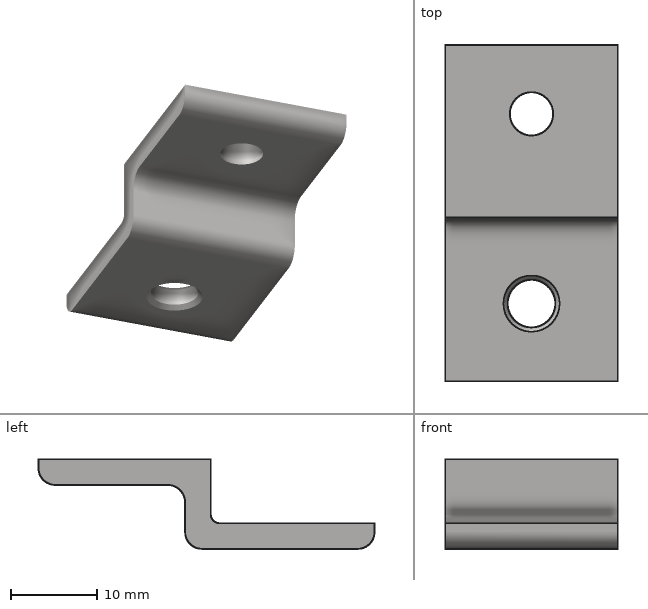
import cadquery as cq

width = 20.0
length = 39.0
height = 10.4

thickness = 3.0
upper_length = 20.0
large_radius = 2.0
step_radius = 1.0

upper_hole_diameter = 5.0
upper_hole_inset = 8.0
lower_hole_diameter = 5.5
lower_hole_inset = 9.0
lower_hole_chamfer = 0.5

step_y = length - upper_length
web_back_y = step_y + thickness
upper_bottom_z = height - thickness


def bracket_body():
    """Extrude the Z section across the width, then round its bends and lower end edges."""
    body = (
        cq.Workplane("YZ")
        .moveTo(0, 0)
        .lineTo(web_back_y, 0)
        .lineTo(web_back_y, upper_bottom_z)
        .lineTo(length, upper_bottom_z)
        .lineTo(length, height)
        .lineTo(step_y, height)
        .lineTo(step_y, thickness)
        .lineTo(0, thickness)
        .close()
        .extrude(width / 2, both=True)
    )
    large_round_corners = [
        (0, 0),
        (web_back_y, 0),
        (web_back_y, upper_bottom_z),
        (length, upper_bottom_z),
    ]
    for y, z in large_round_corners:
        body = body.edges(cq.NearestToPointSelector((0, y, z))).fillet(large_radius)
    return body.edges(cq.NearestToPointSelector((0, step_y, thickness))).fillet(step_radius)


def drill_upper_arm(body):
    """Plain through hole in the upper arm."""
    return (
        body.faces(">Z")
        .workplane(origin=(0, length - upper_hole_inset, height))
        .hole(upper_hole_diameter)
    )


def drill_lower_arm(body):
    """Through hole in the lower arm, chamfered at both rims."""
    pin = (
        cq.Workplane("XY", origin=(0, lower_hole_inset, 0))
        .circle(lower_hole_diameter / 2)
        .extrude(thickness)
    )
    rim_radius = lower_hole_diameter / 2 + lower_hole_chamfer
    for rim_z, inward in [(0, 1), (thickness, -1)]:
        cone = cq.Solid.makeCone(
            rim_radius,
            lower_hole_diameter / 2,
            lower_hole_chamfer,
            pnt=cq.Vector(0, lower_hole_inset, rim_z),
            dir=cq.Vector(0, 0, inward),
        )
        pin = pin.union(cq.Workplane(cone))
    return body.cut(pin)


result = drill_lower_arm(drill_upper_arm(bracket_body()))